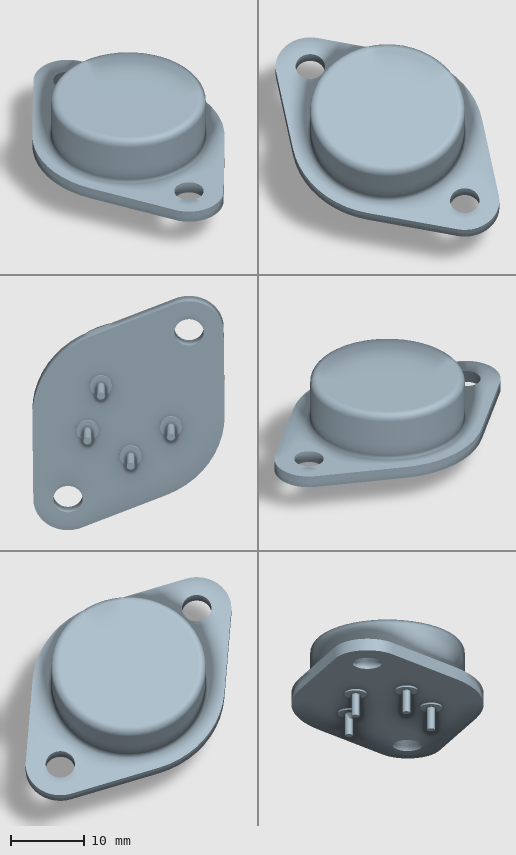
import cadquery as cq
import math

flange_length = 39.6
flange_width = 26.15
flange_thickness = 1.7
ear_radius = 4.7
mounting_hole_diameter = 4.0

can_diameter = 21.05
can_height = 6.8
can_top_fillet = 1.0
can_foot_fillet = 0.45

lead_circle_radius = 5.98
lead_angles = [72, 144, 216, 288]
lead_diameter = 1.05
lead_length = 3.4
seal_diameter = 3.0
seal_thickness = 0.25

side_radius = flange_width / 2
ear_center_x = flange_length / 2 - ear_radius
can_radius = can_diameter / 2


def make_flange():
    """Plate bounded by two side arcs and two ear arcs joined by tangent lines."""
    normal_x = (side_radius - ear_radius) / ear_center_x
    normal_y = math.sqrt(1 - normal_x**2)
    side_x = side_radius * normal_x
    side_y = side_radius * normal_y
    ear_x = ear_center_x + ear_radius * normal_x
    ear_y = ear_radius * normal_y
    return (
        cq.Workplane("XY")
        .moveTo(-side_x, side_y)
        .threePointArc((0, side_radius), (side_x, side_y))
        .lineTo(ear_x, ear_y)
        .threePointArc((flange_length / 2, 0), (ear_x, -ear_y))
        .lineTo(side_x, -side_y)
        .threePointArc((0, -side_radius), (-side_x, -side_y))
        .lineTo(-ear_x, -ear_y)
        .threePointArc((-flange_length / 2, 0), (-ear_x, ear_y))
        .close()
        .extrude(flange_thickness)
    )


def make_can():
    """Revolved can with a rounded top edge and a concave foot fillet."""
    can_top = flange_thickness + can_height
    foot_radius = can_radius + can_foot_fillet
    foot_top = flange_thickness + can_foot_fillet
    top_flat_radius = can_radius - can_top_fillet
    shoulder = can_top - can_top_fillet
    arc_middle = math.sqrt(0.5)
    foot_arc_middle = (
        foot_radius - can_foot_fillet * arc_middle,
        foot_top - can_foot_fillet * arc_middle,
    )
    top_arc_middle = (
        top_flat_radius + can_top_fillet * arc_middle,
        shoulder + can_top_fillet * arc_middle,
    )
    return (
        cq.Workplane("XZ")
        .moveTo(0, flange_thickness)
        .lineTo(foot_radius, flange_thickness)
        .threePointArc(foot_arc_middle, (can_radius, foot_top))
        .lineTo(can_radius, shoulder)
        .threePointArc(top_arc_middle, (top_flat_radius, can_top))
        .lineTo(0, can_top)
        .close()
        .revolve(360, (0, 0, 0), (0, 1, 0))
    )


def make_housing():
    """Flange and can as one body, with a mounting hole through each ear."""
    mounting_holes = (
        cq.Workplane("XY")
        .pushPoints([(-ear_center_x, 0), (ear_center_x, 0)])
        .circle(mounting_hole_diameter / 2)
        .extrude(flange_thickness)
    )
    return make_flange().union(make_can()).cut(mounting_holes)


def make_lead(x, y):
    """Straight round lead hanging from the flange underside."""
    return cq.Workplane("XY").center(x, y).circle(lead_diameter / 2).extrude(-lead_length)


def make_seal(x, y):
    """Thin ring around a lead, against the flange underside."""
    return (
        cq.Workplane("XY")
        .center(x, y)
        .circle(seal_diameter / 2)
        .circle(lead_diameter / 2)
        .extrude(-seal_thickness)
    )


housing = make_housing()
leads = []
seals = []
for angle in lead_angles:
    lead_x = lead_circle_radius * math.cos(math.radians(angle))
    lead_y = lead_circle_radius * math.sin(math.radians(angle))
    leads.append(make_lead(lead_x, lead_y).val())
    seals.append(make_seal(lead_x, lead_y).val())

result = cq.Compound.makeCompound([housing.val(), *leads, *seals])